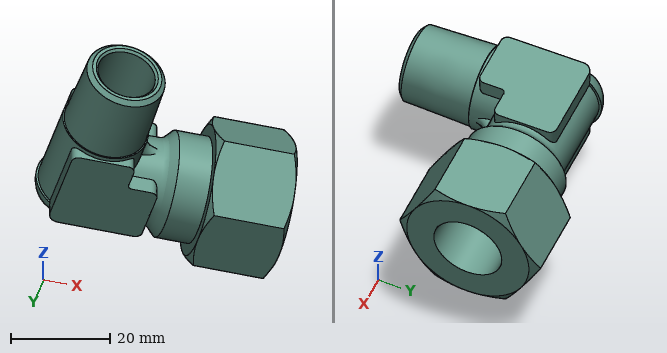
import cadquery as cq
import math

ARM_RADIUS = 9.0

HEEL_RADIUS = 9.45
HEEL_PIVOT_X = -4.4
HEEL_PIVOT_Y = 4.5

SHOULDER_START = 14.25
SHOULDER_RADIUS = 11.05
SHOULDER_FILLET = 1.5
NUT_START = 23.2
NUT_END = 40.25
NUT_ACROSS_FLATS = 27.0
NUT_CHAMFER_ANGLE = 30

ARM_LENGTH = 13.85
SPIGOT_LENGTH = 29.95
SPIGOT_RADIUS = 8.7
SPIGOT_TAPER = 1 / 32
SPIGOT_CHAMFER = 0.9
SPIGOT_FACE_RADIUS = 7.25

PAD_HEIGHT = 9.55
PAD_LEFT = -6.5
PAD_RIGHT = 13.05
PAD_BACK = 6.85
PAD_FRONT = -12.95
PAD_NOTCH_X = 6.55
PAD_NOTCH_Y = -6.75
PAD_CORNER_RADIUS = 1.5
PAD_HEEL_RADIUS = 2.3
PAD_NOTCH_RADIUS = 0.9

RIB_PIVOT = 12.95
RIB_RADIUS = 1.6

SWIVEL_BORE_RADIUS = 7.5
SPIGOT_BORE_RADIUS = 6.0
SPIGOT_BORE_CHAMFER = 0.5
DRILL_HALF_ANGLE = 60

SELECT_MARGIN = 0.05


def revolve_about_x(profile):
    """Turn a list of (x, radius) points around the X axis."""
    return cq.Workplane("XY").polyline(profile).close().revolve(360, (0, 0, 0), (1, 0, 0))


def revolve_about_y(profile):
    """Turn a list of (radius, y) points around the Y axis."""
    return cq.Workplane("XY").polyline(profile).close().revolve(360, (0, 0, 0), (0, 1, 0))


def swivel_arm():
    """Arm along +X, flaring at 45 degrees into the shoulder that enters the nut."""
    shoulder_full = SHOULDER_START + SHOULDER_RADIUS - ARM_RADIUS
    arm = revolve_about_x([
        (HEEL_PIVOT_X, 0),
        (HEEL_PIVOT_X, ARM_RADIUS),
        (SHOULDER_START, ARM_RADIUS),
        (shoulder_full, SHOULDER_RADIUS),
        (NUT_END, SHOULDER_RADIUS),
        (NUT_END, 0),
    ])
    flare_root = cq.selectors.BoxSelector(
        (SHOULDER_START - SELECT_MARGIN, -SHOULDER_RADIUS, -SHOULDER_RADIUS),
        (SHOULDER_START + SELECT_MARGIN, SHOULDER_RADIUS, SHOULDER_RADIUS),
    )
    return arm.edges(flare_root).fillet(SHOULDER_FILLET)


def nut():
    """Hexagon nut with corners up and down Y, both ends chamfered down to the flats."""
    flat_radius = NUT_ACROSS_FLATS / 2
    corner_radius = flat_radius / math.cos(math.pi / 6)
    chamfer = (corner_radius - flat_radius) * math.tan(math.radians(NUT_CHAMFER_ANGLE))
    hexagon = (
        cq.Workplane("YZ", origin=(NUT_START, 0, 0))
        .polygon(6, 2 * corner_radius)
        .extrude(NUT_END - NUT_START)
    )
    envelope = revolve_about_x([
        (NUT_START, 0),
        (NUT_START, flat_radius),
        (NUT_START + chamfer, corner_radius),
        (NUT_END - chamfer, corner_radius),
        (NUT_END, flat_radius),
        (NUT_END, 0),
    ])
    return hexagon.intersect(envelope)


def spigot_arm():
    """Arm along -Y ending in the tapered thread spigot."""
    taper_length = SPIGOT_LENGTH - SPIGOT_CHAMFER - ARM_LENGTH
    tip_radius = SPIGOT_RADIUS - SPIGOT_TAPER * taper_length
    return revolve_about_y([
        (0, HEEL_PIVOT_Y),
        (ARM_RADIUS, HEEL_PIVOT_Y),
        (ARM_RADIUS, -ARM_LENGTH),
        (SPIGOT_RADIUS, -ARM_LENGTH),
        (tip_radius, SPIGOT_CHAMFER - SPIGOT_LENGTH),
        (SPIGOT_FACE_RADIUS, -SPIGOT_LENGTH),
        (0, -SPIGOT_LENGTH),
    ])


def heel():
    """Circular segment swept a quarter turn around the outside corner."""
    half_chord = math.sqrt(HEEL_RADIUS**2 - HEEL_PIVOT_X**2)
    return (
        cq.Workplane("XZ", origin=(0, HEEL_PIVOT_Y, 0))
        .moveTo(HEEL_PIVOT_X, -half_chord)
        .threePointArc((-HEEL_RADIUS, 0), (HEEL_PIVOT_X, half_chord))
        .close()
        .revolve(90, (HEEL_PIVOT_X, 0.5, 0), (HEEL_PIVOT_X, 0, 0))
    )


def corner_rib():
    """Quarter ring of round section blending the inside corner."""
    section_x = ARM_RADIUS - RIB_RADIUS
    pivot_x = RIB_PIVOT - section_x
    return (
        cq.Workplane("XZ", origin=(0, -RIB_PIVOT, 0))
        .center(section_x, 0)
        .circle(RIB_RADIUS)
        .revolve(90, (pivot_x, 0.5, 0), (pivot_x, 0, 0))
    )


def wrench_pads():
    """L-shaped block whose top and bottom stand above the arms as wrench pads."""
    block = (
        cq.Workplane("XY", origin=(0, 0, -PAD_HEIGHT))
        .moveTo(PAD_LEFT, PAD_FRONT)
        .lineTo(PAD_NOTCH_X, PAD_FRONT)
        .lineTo(PAD_NOTCH_X, PAD_NOTCH_Y)
        .lineTo(PAD_RIGHT, PAD_NOTCH_Y)
        .lineTo(PAD_RIGHT, PAD_BACK)
        .lineTo(PAD_LEFT, PAD_BACK)
        .close()
        .extrude(2 * PAD_HEIGHT)
    )

    def round_corner(body, x, y, radius):
        return body.edges(cq.selectors.NearestToPointSelector((x, y, 0))).fillet(radius)

    block = round_corner(block, PAD_LEFT, PAD_BACK, PAD_HEEL_RADIUS)
    block = round_corner(block, PAD_NOTCH_X, PAD_NOTCH_Y, PAD_NOTCH_RADIUS)
    outer_corners = [
        (PAD_LEFT, PAD_FRONT),
        (PAD_NOTCH_X, PAD_FRONT),
        (PAD_RIGHT, PAD_NOTCH_Y),
        (PAD_RIGHT, PAD_BACK),
    ]
    for x, y in outer_corners:
        block = round_corner(block, x, y, PAD_CORNER_RADIUS)
    return block


def drill_tip_depth(radius):
    return radius / math.tan(math.radians(DRILL_HALF_ANGLE))


def swivel_bore():
    return revolve_about_x([
        (-drill_tip_depth(SWIVEL_BORE_RADIUS), 0),
        (0, SWIVEL_BORE_RADIUS),
        (NUT_END, SWIVEL_BORE_RADIUS),
        (NUT_END, 0),
    ])


def spigot_bore():
    return revolve_about_y([
        (0, drill_tip_depth(SPIGOT_BORE_RADIUS)),
        (SPIGOT_BORE_RADIUS, 0),
        (SPIGOT_BORE_RADIUS, SPIGOT_BORE_CHAMFER - SPIGOT_LENGTH),
        (SPIGOT_BORE_RADIUS + SPIGOT_BORE_CHAMFER, -SPIGOT_LENGTH),
        (0, -SPIGOT_LENGTH),
    ])


body = swivel_arm()
for addition in (spigot_arm(), heel(), wrench_pads(), corner_rib(), nut()):
    body = body.union(addition)

result = body.cut(swivel_bore()).cut(spigot_bore())